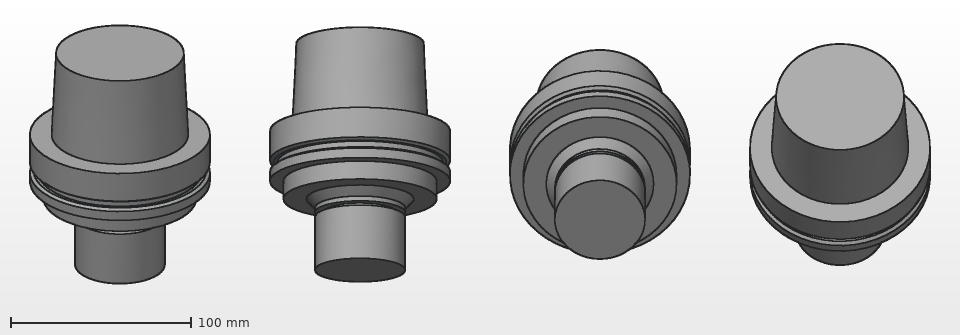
import cadquery as cq

total_height = 130.0
nut_height = 30.5
relief_height = 2.5
neck_cone_height = 5.1
collar_height = 10.3
flange_height = 28.9
taper_height = 50.0

nut_diameter = 50.0
relief_diameter = 41.0
neck_cone_top_diameter = 59.5
collar_diameter = 85.0
flange_diameter = 100.0
groove_floor_diameter = 92.0
groove_side_inner_diameter = 96.0
taper_base_diameter = 75.9
taper_top_diameter = 71.0

lower_rim_height = 5.5
groove_side_height = 1.3
groove_floor_height = 3.8

land_bottom_z = nut_height + relief_height
taper_base_z = total_height - taper_height
flange_bottom_z = taper_base_z - flange_height
collar_bottom_z = flange_bottom_z - collar_height
neck_cone_bottom_z = collar_bottom_z - neck_cone_height
lower_rim_top_z = flange_bottom_z + lower_rim_height
groove_floor_bottom_z = lower_rim_top_z + groove_side_height
groove_floor_top_z = groove_floor_bottom_z + groove_floor_height
upper_rim_bottom_z = groove_floor_top_z + groove_side_height


def make_nut():
    """Plain round nut at the lower end."""
    return cq.Workplane("XY").circle(nut_diameter / 2).extrude(nut_height)


def make_holder():
    """Taper, grooved flange, collar and neck as one turned solid."""
    nut_radius = nut_diameter / 2
    relief_radius = relief_diameter / 2
    flange_radius = flange_diameter / 2
    collar_radius = collar_diameter / 2
    groove_floor_radius = groove_floor_diameter / 2
    groove_side_inner_radius = groove_side_inner_diameter / 2
    profile = [
        (0, nut_height),
        (relief_radius, nut_height),
        (relief_radius, land_bottom_z),
        (nut_radius, land_bottom_z),
        (nut_radius, neck_cone_bottom_z),
        (neck_cone_top_diameter / 2, collar_bottom_z),
        (collar_radius, collar_bottom_z),
        (collar_radius, flange_bottom_z),
        (flange_radius, flange_bottom_z),
        (flange_radius, lower_rim_top_z),
        (groove_side_inner_radius, groove_floor_bottom_z),
        (groove_floor_radius, groove_floor_bottom_z),
        (groove_floor_radius, groove_floor_top_z),
        (groove_side_inner_radius, groove_floor_top_z),
        (flange_radius, upper_rim_bottom_z),
        (flange_radius, taper_base_z),
        (taper_base_diameter / 2, taper_base_z),
        (taper_top_diameter / 2, total_height),
        (0, total_height),
    ]
    return cq.Workplane("XZ").polyline(profile).close().revolve(360, (0, 0, 0), (0, 1, 0))


nut = make_nut()
holder = make_holder()
result = cq.Compound.makeCompound([holder.val(), nut.val()])